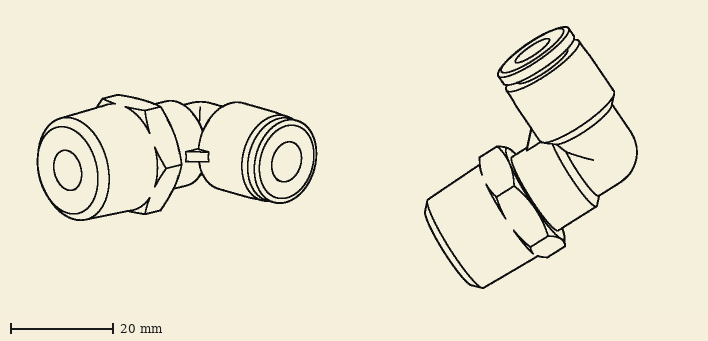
import cadquery as cq
import math

elbow_radius = 7.0
bore_radius = 4.0

shoulder_start = 5.0
body_radius = 8.5
shoulder_end = shoulder_start + body_radius - elbow_radius
hex_start = 15.45
hex_end = 21.4
hex_apothem = 10.51
hex_corner_radius = hex_apothem / math.cos(math.pi / 6)
hex_chamfer_slope = math.tan(math.pi / 6)

taper_slope = 1 / 32
gauge_plane = 24.55
thread_end = 35.51
thread_chamfer = 1.55
thread_start_radius = hex_apothem + taper_slope * (gauge_plane - hex_end)
thread_chamfer_start = thread_end - thread_chamfer
thread_end_radius = hex_apothem - taper_slope * (thread_chamfer_start - gauge_plane)

collar_radius = 8.74
collar_start = 6.95
collar_full = collar_start + collar_radius - elbow_radius
collar_taper_start = 17.4
collar_ring_start = 19.65
collar_ring_radius = 8.6
collar_end = 20.97
neck_radius = 5.95
flange_start = 22.35
flange_edge = 24.25
flange_end = 24.6
flange_radius = 8.3
flange_face_radius = 7.3

rib_body_contact = 11.8
rib_edge_sum = body_radius + rib_body_contact
rib_thickness = 2.0


def revolve_along_x(profile):
    """Revolve a list of (distance, radius) points about the X axis."""
    closed = [(profile[0][0], 0)] + profile + [(profile[-1][0], 0)]
    return cq.Workplane("XY").polyline(closed).close().revolve(360, (0, 0, 0), (1, 0, 0))


def revolve_along_minus_y(profile):
    """Revolve a list of (distance, radius) points about the Y axis, towards -Y."""
    return revolve_along_x(profile).rotate((0, 0, 0), (0, 0, 1), -90)


def hexagonal_prism(start, end):
    """Hexagon along -Y with two flats facing +Z and -Z."""
    return (
        cq.Workplane("XZ", origin=(0, -start, 0))
        .polygon(6, 2 * hex_corner_radius)
        .extrude(end - start)
    )


def threaded_leg():
    body = revolve_along_minus_y([
        (0, elbow_radius),
        (shoulder_start, elbow_radius),
        (shoulder_end, body_radius),
        (hex_start, body_radius),
    ])
    top_chamfer = (hex_corner_radius - hex_apothem) * hex_chamfer_slope
    bottom_chamfer = (hex_corner_radius - thread_start_radius) * hex_chamfer_slope
    envelope = revolve_along_minus_y([
        (hex_start, hex_apothem),
        (hex_start + top_chamfer, hex_corner_radius),
        (hex_end - bottom_chamfer, hex_corner_radius),
        (hex_end, thread_start_radius),
        (thread_chamfer_start, thread_end_radius),
        (thread_end, thread_end_radius - thread_chamfer),
    ])
    return body.union(envelope.intersect(hexagonal_prism(hex_start, thread_end)))


def push_in_leg():
    return revolve_along_x([
        (0, elbow_radius),
        (collar_start, elbow_radius),
        (collar_full, collar_radius),
        (collar_taper_start, collar_radius),
        (collar_ring_start, collar_ring_radius),
        (collar_end, collar_ring_radius),
        (collar_end, neck_radius),
        (flange_start, neck_radius),
        (flange_start, flange_radius),
        (flange_edge, flange_radius),
        (flange_end, flange_face_radius),
    ])


def corner_rib():
    return (
        cq.Workplane("XY")
        .polyline([
            (elbow_radius, -elbow_radius),
            (rib_edge_sum - elbow_radius, -elbow_radius),
            (elbow_radius, elbow_radius - rib_edge_sum),
        ])
        .close()
        .extrude(rib_thickness / 2, both=True)
    )


def elbow_bore():
    corner = cq.Workplane("XY").sphere(bore_radius)
    thread_bore = revolve_along_minus_y([(0, bore_radius), (thread_end, bore_radius)])
    tube_bore = revolve_along_x([(0, bore_radius), (flange_end, bore_radius)])
    return corner.union(thread_bore).union(tube_bore)


elbow = cq.Workplane("XY").sphere(elbow_radius)
fitting = elbow.union(threaded_leg()).union(push_in_leg()).union(corner_rib())
result = fitting.cut(elbow_bore())